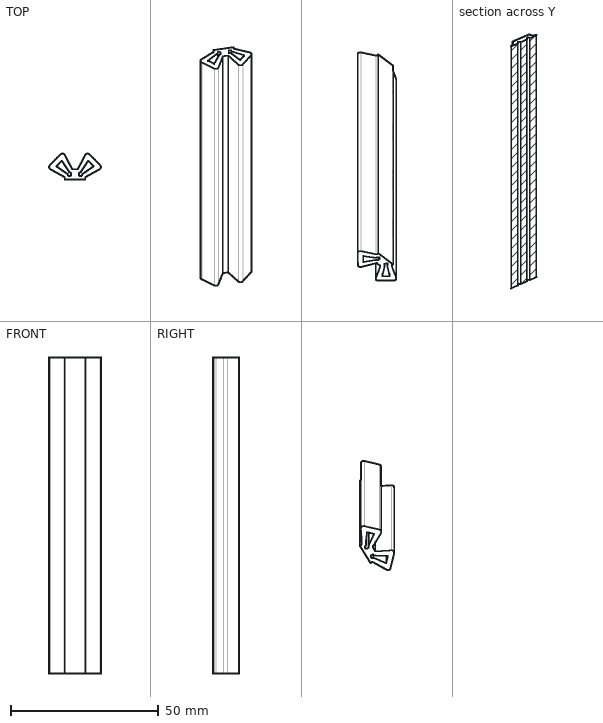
import cadquery as cq
import math

width = 17.7
depth = 8.85
length = 107.5

foot_half_width = 3.5
foot_thickness = 0.75
foot_fillet = 0.6
valley_half_width = 0.9
valley_floor = 3.5

corner_radius = 0.9
tip_center = (width / 2 - corner_radius, 4.25)
crest_height = depth - corner_radius
crest_center = (sum(tip_center) - crest_height, crest_height)
face_normal = math.pi / 4

hollow_crest = (4.5, 6.35)
hollow_tip = (6.3, 4.5)
hollow_end_center = (1.9, 1.65)
hollow_end_radius = 0.5
hollow_bend = (2.25, 2.95)
hollow_inner_top = 2.25
hollow_outer_top = 1.8


def on_corner(center, angle):
    """Point on a rounded corner at the given angle in radians."""
    return (
        center[0] + corner_radius * math.cos(angle),
        center[1] + corner_radius * math.sin(angle),
    )


def tangent_angle(point, center, side):
    """Angle at which a line from the point touches a rounded corner; side is +1 or -1."""
    dx = point[0] - center[0]
    dy = point[1] - center[1]
    spread = math.acos(corner_radius / math.hypot(dx, dy))
    return math.atan2(dy, dx) + side * spread


def make_half_body():
    """Right half of the strip, from the symmetry plane to the arm tip."""
    foot_corner = (foot_half_width, foot_thickness)
    valley_corner = (valley_half_width, valley_floor)
    tip_start = tangent_angle(foot_corner, tip_center, 1)
    crest_end = tangent_angle(valley_corner, crest_center, -1) % (2 * math.pi)
    return (
        cq.Workplane("XY")
        .moveTo(0, 0)
        .lineTo(foot_half_width, 0)
        .lineTo(*foot_corner)
        .lineTo(*on_corner(tip_center, tip_start))
        .threePointArc(
            on_corner(tip_center, (tip_start + face_normal) / 2),
            on_corner(tip_center, face_normal),
        )
        .lineTo(*on_corner(crest_center, face_normal))
        .threePointArc(
            on_corner(crest_center, (face_normal + crest_end) / 2),
            on_corner(crest_center, crest_end),
        )
        .lineTo(*valley_corner)
        .lineTo(0, valley_floor)
        .close()
        .extrude(length)
        .edges(cq.selectors.NearestToPointSelector((*foot_corner, length / 2)))
        .fillet(foot_fillet)
    )


def make_hollow():
    """Through hollow of the right arm."""
    end_x, end_y = hollow_end_center
    inner_x = end_x - hollow_end_radius
    outer_x = end_x + hollow_end_radius
    return (
        cq.Workplane("XY")
        .moveTo(*hollow_crest)
        .lineTo(*hollow_bend)
        .tangentArcPoint((inner_x, hollow_inner_top), relative=False)
        .lineTo(inner_x, end_y)
        .threePointArc((end_x, end_y - hollow_end_radius), (outer_x, end_y))
        .lineTo(outer_x, hollow_outer_top)
        .lineTo(*hollow_tip)
        .close()
        .extrude(length)
    )


half = make_half_body().cut(make_hollow())
result = half.union(half.mirror("YZ")).clean()